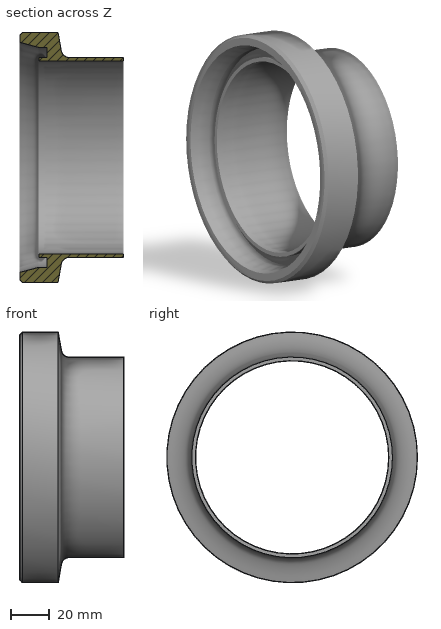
import cadquery as cq
import math

total_length = 54.0
flange_diameter = 130.0
flange_chamfer = 1.5
flange_rim_length = 20.0
back_face_slope = 10.0

tube_outer_diameter = 104.0
tube_bore_diameter = 100.0
tube_root_fillet = 4.0

recess_floor_diameter = 113.8
recess_taper_depth = 10.0
recess_taper_angle = 15.0
recess_floor_depth = 14.0
tube_lip_depth = 10.0

flange_radius = flange_diameter / 2
tube_outer_radius = tube_outer_diameter / 2
tube_bore_radius = tube_bore_diameter / 2
recess_floor_radius = recess_floor_diameter / 2
recess_mouth_radius = recess_floor_radius + recess_taper_depth * math.tan(math.radians(recess_taper_angle))

full_turn = 360


def revolve_about_x(profile):
    """Turn a closed profile, drawn as (x, radius), about the X axis."""
    return profile.close().revolve(full_turn, (0, 0, 0), (1, 0, 0))


def make_tube():
    """Plain tube whose front end stands proud of the recess floor."""
    return (
        cq.Workplane("YZ", origin=(tube_lip_depth, 0, 0))
        .circle(tube_outer_radius)
        .circle(tube_bore_radius)
        .extrude(total_length - tube_lip_depth)
    )


def make_flange():
    """Flange ring with a tapered recess, a sloped back face and a fillet onto the tube."""
    slope = math.radians(back_face_slope)

    corner_x = flange_rim_length + (flange_radius - tube_outer_radius) * math.tan(slope)
    mid_angle = (math.pi / 2 - slope) / 2
    tangent_length = tube_root_fillet * math.tan(mid_angle)
    fillet_end_x = corner_x + tangent_length
    fillet_start = (
        corner_x - tangent_length * math.sin(slope),
        tube_outer_radius + tangent_length * math.cos(slope),
    )
    fillet_middle = (
        fillet_end_x - tube_root_fillet * math.sin(mid_angle),
        tube_outer_radius + tube_root_fillet * (1 - math.cos(mid_angle)),
    )

    profile = (
        cq.Workplane("XY")
        .moveTo(0, recess_mouth_radius)
        .lineTo(0, flange_radius - flange_chamfer)
        .lineTo(flange_chamfer, flange_radius)
        .lineTo(flange_rim_length, flange_radius)
        .lineTo(*fillet_start)
        .threePointArc(fillet_middle, (fillet_end_x, tube_outer_radius))
        .lineTo(fillet_end_x, tube_bore_radius)
        .lineTo(recess_floor_depth, tube_bore_radius)
        .lineTo(recess_floor_depth, recess_floor_radius)
        .lineTo(recess_taper_depth, recess_floor_radius)
    )
    return revolve_about_x(profile)


result = make_flange().union(make_tube())